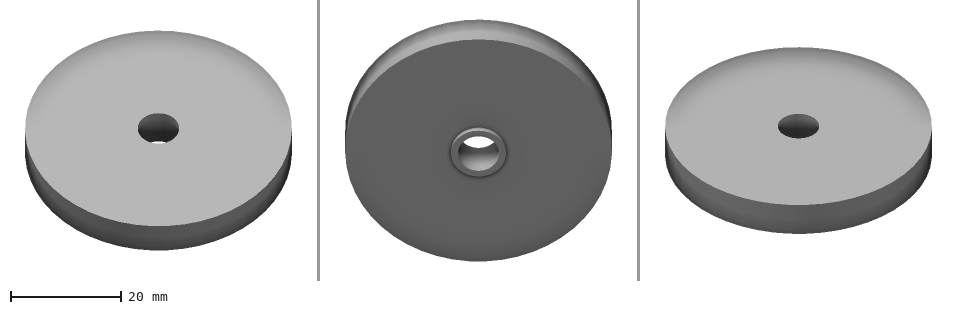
import cadquery as cq

disc_diameter = 48.5
total_height = 7.5
boss_diameter = 10.0
boss_height = 1.0
bore_diameter = 7.5
disc_thickness = total_height - boss_height

disc = cq.Workplane("XY").circle(disc_diameter / 2).extrude(disc_thickness)

boss = cq.Workplane("XY").circle(boss_diameter / 2).extrude(-boss_height)

bore = (
    cq.Workplane("XY")
    .workplane(offset=-boss_height)
    .circle(bore_diameter / 2)
    .extrude(total_height)
)

result = disc.union(boss).cut(bore)